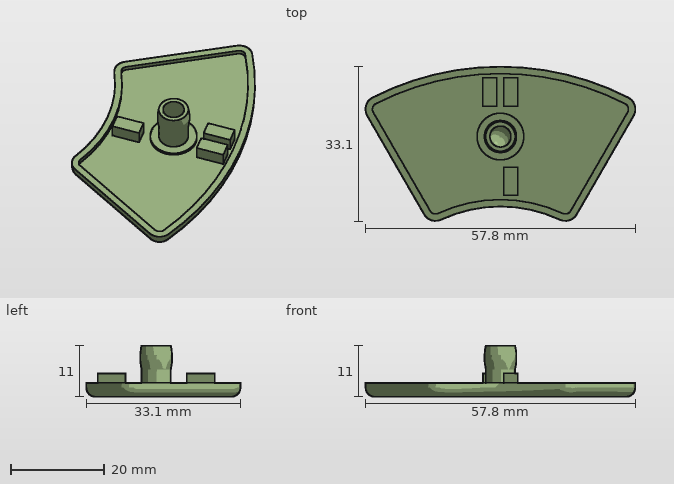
import cadquery as cq
import math

OUTER_RADIUS = 60.0
INNER_RADIUS = OUTER_RADIUS / 2
POST_RADIUS = 45.0
HALF_ANGLE = math.radians(30)
CORNER_RADIUS = 2.85
PLATE_HEIGHT = 3.0
BOTTOM_FILLET = 2.0

RIM_WIDTH = 1.5
FLOOR_Z = 2.0

FLANGE_DIAMETER = 10.0
FLANGE_HEIGHT = 0.5
NECK_DIAMETER = 6.3
BULGE_DIAMETER = 6.9
BULGE_START_Z = 5.9
BAND_BOTTOM_Z = 8.0
BAND_TOP_Z = 9.0
POST_TOP_Z = 11.0
BULGE_BOW = 0.05

BORE_DIAMETER = 4.5
BORE_BOTTOM_Z = FLOOR_Z
BORE_FILLET = 2.0

BLOCK_WIDTH = 3.0
BLOCK_LENGTH = 6.0
BLOCK_TOP_Z = 5.05
BLOCK_X = 2.25
BLOCK_Y = 9.55
BLOCK_CENTERS = [(-BLOCK_X, BLOCK_Y), (BLOCK_X, BLOCK_Y), (BLOCK_X, -BLOCK_Y)]


def sector(inset, bottom_z, height):
    """Rounded ring sector, with every side moved inward by inset."""
    outer = OUTER_RADIUS - inset
    inner = INNER_RADIUS + inset

    def side_point(radius):
        angle = HALF_ANGLE - math.asin(inset / radius)
        return radius * math.sin(angle), radius * math.cos(angle) - POST_RADIUS

    outer_x, outer_y = side_point(outer)
    inner_x, inner_y = side_point(inner)
    return (
        cq.Workplane("XY", origin=(0, 0, bottom_z))
        .moveTo(-outer_x, outer_y)
        .threePointArc((0, outer - POST_RADIUS), (outer_x, outer_y))
        .lineTo(inner_x, inner_y)
        .threePointArc((0, inner - POST_RADIUS), (-inner_x, inner_y))
        .close()
        .extrude(height)
        .edges("|Z")
        .fillet(CORNER_RADIUS - inset)
    )


def make_plate():
    plate = sector(0, 0, PLATE_HEIGHT).faces("<Z").edges().fillet(BOTTOM_FILLET)
    return plate.cut(sector(RIM_WIDTH, FLOOR_Z, PLATE_HEIGHT))


def make_post():
    """Flanged post with a bulged band, revolved about the Z axis."""
    flange_r = FLANGE_DIAMETER / 2
    flange_top_z = FLOOR_Z + FLANGE_HEIGHT
    neck_r = NECK_DIAMETER / 2
    bulge_r = BULGE_DIAMETER / 2
    flank_r = (neck_r + bulge_r) / 2 + BULGE_BOW
    foot_z = FLOOR_Z / 2
    return (
        cq.Workplane("XZ")
        .moveTo(0, foot_z)
        .lineTo(flange_r, foot_z)
        .lineTo(flange_r, flange_top_z)
        .lineTo(neck_r, flange_top_z)
        .lineTo(neck_r, BULGE_START_Z)
        .threePointArc((flank_r, (BULGE_START_Z + BAND_BOTTOM_Z) / 2), (bulge_r, BAND_BOTTOM_Z))
        .lineTo(bulge_r, BAND_TOP_Z)
        .threePointArc((flank_r, (BAND_TOP_Z + POST_TOP_Z) / 2), (neck_r, POST_TOP_Z))
        .lineTo(0, POST_TOP_Z)
        .close()
        .revolve()
    )


def make_bore():
    return (
        cq.Workplane("XY", origin=(0, 0, BORE_BOTTOM_Z))
        .circle(BORE_DIAMETER / 2)
        .extrude(POST_TOP_Z - BORE_BOTTOM_Z)
        .faces("<Z")
        .edges()
        .fillet(BORE_FILLET)
    )


def make_blocks():
    return (
        cq.Workplane("XY", origin=(0, 0, FLOOR_Z))
        .pushPoints(BLOCK_CENTERS)
        .rect(BLOCK_WIDTH, BLOCK_LENGTH)
        .extrude(BLOCK_TOP_Z - FLOOR_Z)
    )


result = make_plate().union(make_post()).union(make_blocks()).cut(make_bore())